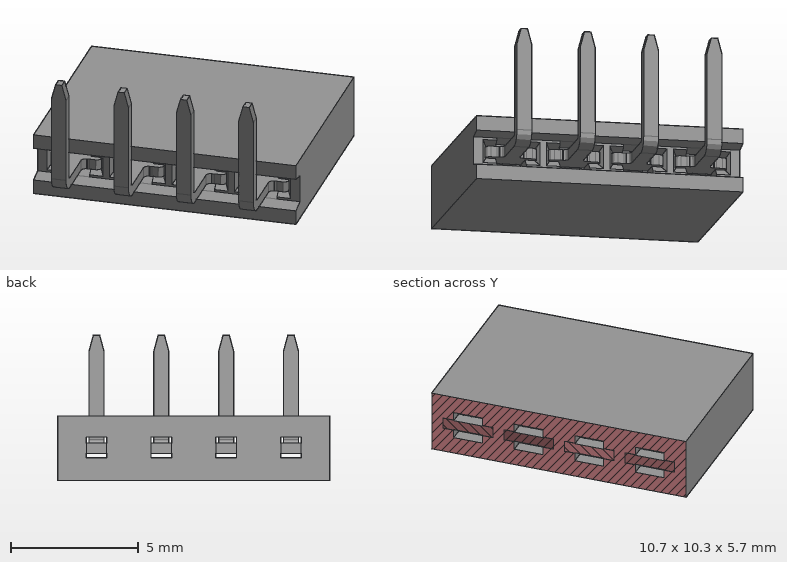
import cadquery as cq
import math


HOUSING_WIDTH = 10.66
HOUSING_DEPTH = 8.5
HOUSING_HEIGHT = 2.54
MID_Z = HOUSING_HEIGHT / 2

LIP_LENGTH = 0.6
LIP_TIP_THICKNESS = 0.59
LIP_ROOT_THICKNESS = 0.71
FACE_Y = LIP_LENGTH
CHANNEL_HEIGHT = HOUSING_HEIGHT - 2 * LIP_ROOT_THICKNESS

CONTACT_COUNT = 4
PITCH = 2.54
CONTACT_XS = [(i - (CONTACT_COUNT - 1) / 2) * PITCH for i in range(CONTACT_COUNT)]

SHEET = 0.43
STEM_WIDTH = 0.6
STEM_OVERHANG = 1.8
STEM_RISE = 3.16
TIP_WIDTH = 0.26
TIP_LENGTH = 0.63
BEND_INNER_RADIUS = 0.13
BEND_OUTER_RADIUS = BEND_INNER_RADIUS + SHEET

CROSSBAR_WIDTH = 2.06
CROSSBAR_DEPTH = 1.07
CORNER_RADIUS = 0.2
RIDGE_FOOT = 0.59
RIDGE_CREST = 0.5
RIDGE_VALLEY = 0.47

FUNNEL_WIDTH = 2.28
FUNNEL_HEIGHT = 0.93
FUNNEL_FLOOR_WIDTH = 1.94
FUNNEL_DEPTH = 0.27
CAVITY_WIDTH = 1.18
MATING_HOLE = 0.8
MATING_HOLE_RISE = 0.03


def block(width, depth, height, x, front_y):
    """A box centred on x and on the contact level, running back from front_y."""
    return cq.Workplane("XY").box(width, depth, height).translate((x, front_y + depth / 2, MID_Z))


def make_shell():
    """The housing block with two tapered lips along its open face."""
    top = HOUSING_HEIGHT
    profile = [
        (0, 0),
        (HOUSING_DEPTH, 0),
        (HOUSING_DEPTH, top),
        (0, top),
        (0, top - LIP_TIP_THICKNESS),
        (FACE_Y, top - LIP_ROOT_THICKNESS),
        (FACE_Y, LIP_ROOT_THICKNESS),
        (0, LIP_TIP_THICKNESS),
    ]
    return cq.Workplane("YZ").polyline(profile).close().extrude(HOUSING_WIDTH / 2, both=True)


def make_funnel(x):
    """The mouth around the crossbar, tapering down to the metal's thickness."""
    return (
        cq.Workplane("XZ", origin=(x, FACE_Y, MID_Z))
        .rect(FUNNEL_WIDTH, FUNNEL_HEIGHT)
        .workplane(offset=-FUNNEL_DEPTH)
        .rect(FUNNEL_FLOOR_WIDTH, SHEET)
        .loft(ruled=True)
    )


def make_crossbar(x):
    """The bar seated in the housing, with rounded front corners."""
    bar = block(CROSSBAR_WIDTH, CROSSBAR_DEPTH, SHEET, x, FACE_Y)
    return bar.edges("|Z and <Y").fillet(CORNER_RADIUS)


def make_mating_hole(x):
    hole = block(MATING_HOLE, HOUSING_DEPTH - FACE_Y, MATING_HOLE, x, FACE_Y)
    return hole.translate((0, 0, MATING_HOLE_RISE))


def make_housing():
    """The shell with a funnel, a close-fitting crossbar seat, a cavity and a hole per contact."""
    housing = make_shell()
    for x in CONTACT_XS:
        cavity = block(CAVITY_WIDTH, CROSSBAR_DEPTH, CHANNEL_HEIGHT, x, FACE_Y)
        mating_hole = make_mating_hole(x)
        housing = housing.cut(make_funnel(x)).cut(make_crossbar(x)).cut(cavity).cut(mating_hole)
    return housing


def arc_rise(run):
    """Height of a CORNER_RADIUS arc above its tangent line, at a distance run along that line."""
    return CORNER_RADIUS - math.sqrt(CORNER_RADIUS**2 - run**2)


def make_root(x, side):
    """The fillet and low ridge joining one flank of the stem to the crossbar; side is -1 or 1."""
    stem_side = STEM_WIDTH / 2
    fillet_centre = stem_side + CORNER_RADIUS

    def point(offset, rise):
        return (x + side * offset, FACE_Y - rise)

    crest_run = RIDGE_FOOT - RIDGE_CREST
    valley_run = fillet_centre - RIDGE_VALLEY
    half_fillet_run = CORNER_RADIUS * math.sqrt(0.5)
    return (
        cq.Workplane("XY", origin=(0, 0, MID_Z - SHEET / 2))
        .moveTo(*point(0, 0))
        .lineTo(*point(RIDGE_FOOT, 0))
        .threePointArc(
            point(RIDGE_FOOT - crest_run / 2, arc_rise(crest_run / 2)),
            point(RIDGE_CREST, arc_rise(crest_run)),
        )
        .lineTo(*point(RIDGE_VALLEY, arc_rise(valley_run)))
        .threePointArc(
            point(fillet_centre - half_fillet_run, arc_rise(half_fillet_run)),
            point(stem_side, CORNER_RADIUS),
        )
        .lineTo(*point(0, CORNER_RADIUS))
        .close()
        .extrude(SHEET)
    )


def make_stem(x):
    """The strip that leaves the crossbar, bends upward and ends in a tapered tip."""
    outer_y = -STEM_OVERHANG
    inner_y = outer_y + SHEET
    bottom_z = MID_Z - SHEET / 2
    top_z = MID_Z + SHEET / 2
    tip_z = HOUSING_HEIGHT + STEM_RISE
    bend_y = outer_y + BEND_OUTER_RADIUS
    bend_z = bottom_z + BEND_OUTER_RADIUS

    strip = (
        cq.Workplane("YZ", origin=(x, 0, 0))
        .moveTo(FACE_Y, bottom_z)
        .lineTo(bend_y, bottom_z)
        .radiusArc((outer_y, bend_z), BEND_OUTER_RADIUS)
        .lineTo(outer_y, tip_z)
        .lineTo(inner_y, tip_z)
        .lineTo(inner_y, bend_z)
        .radiusArc((bend_y, top_z), -BEND_INNER_RADIUS)
        .lineTo(FACE_Y, top_z)
        .close()
        .extrude(STEM_WIDTH / 2, both=True)
    )

    shoulder_z = tip_z - TIP_LENGTH
    outline = [
        (-STEM_WIDTH / 2, 0),
        (STEM_WIDTH / 2, 0),
        (STEM_WIDTH / 2, shoulder_z),
        (TIP_WIDTH / 2, tip_z),
        (-TIP_WIDTH / 2, tip_z),
        (-STEM_WIDTH / 2, shoulder_z),
    ]
    outline_prism = (
        cq.Workplane("XZ", origin=(x, outer_y, 0))
        .polyline(outline)
        .close()
        .extrude(-(STEM_OVERHANG + FACE_Y))
    )
    return strip.intersect(outline_prism)


def make_contact(x):
    """One bent contact: the crossbar, the stem and the roots between them."""
    contact = make_crossbar(x).union(make_stem(x))
    for side in (-1, 1):
        contact = contact.union(make_root(x, side))
    return contact


housing = make_housing()
contacts = [make_contact(x) for x in CONTACT_XS]

result = cq.Compound.makeCompound([housing.val(), *(contact.val() for contact in contacts)])